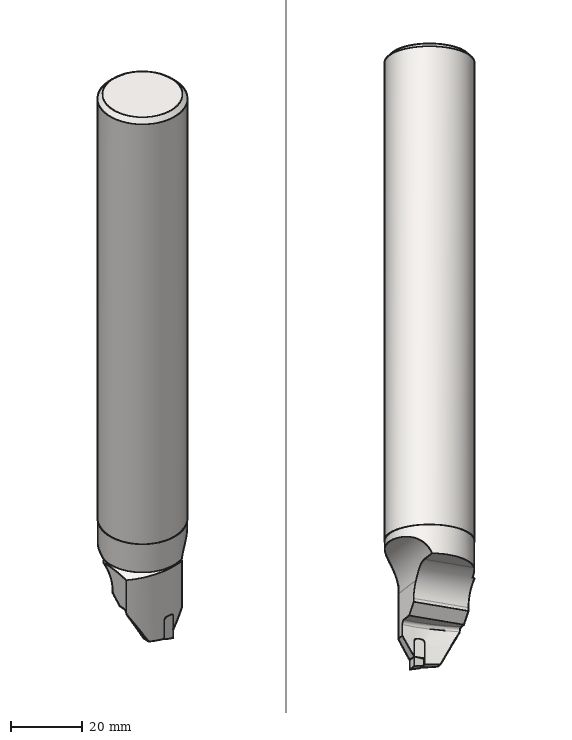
import cadquery as cq
import math

total_length = 180.0
overall_width = 25.5
overall_depth = 25.7

shank_radius = 25.4 / 2
neck_radius = 25.2 / 2
shank_end_z = 34.4
shank_chamfer = 1.5

head_front_y = shank_radius - overall_depth
head_arc_radius = 18.0
head_arc_y = -0.5
head_arc_x = overall_width - shank_radius - head_arc_radius
shoulder_z = 24.7
shoulder_slope = 0.5

neck_end_z = 25.7
side_fillet = 8.6
side_wall_x = 2.0
side_chamfer = 3.0
side_chamfer_z = 16.0
head_end_z = side_chamfer_z - side_chamfer

back_wall_y = 4.0
back_fillet = 9.9
back_step_z = 32.0

blade_thickness = 3.0
inner_arc_radius = 39.6
inner_arc_x = head_arc_x + head_arc_radius - blade_thickness - inner_arc_radius
blade_root_fillet = 1.0
blade_slant_z = 11.7
blade_heel_y = -7.7
blade_heel_z = 1.6
blade_back_slant_z = 8.5

insert_face_y = 0.2
insert_width = 3.2
insert_top_z = 8.5
insert_corner = 1.0
insert_seat_y = insert_face_y - insert_width
insert_end_rise = 0.9
insert_end_recess = 0.2
blade_back_end_z = 2.9
side_relief_z = 2.9
side_relief = 0.5

margin = 18.0
far = shank_radius + margin


def prism_along_x(points):
    """A YZ outline extended through the whole part along X."""
    return cq.Workplane("YZ").polyline(points).close().extrude(far, both=True)


def make_shank():
    """Round shank with a chamfered top and a slightly thinner neck below."""
    shank = (
        cq.Workplane("XY", origin=(0, 0, shank_end_z))
        .circle(shank_radius)
        .extrude(total_length - shank_end_z)
        .faces(">Z")
        .chamfer(shank_chamfer)
    )
    neck = (
        cq.Workplane("XY", origin=(0, 0, head_end_z))
        .circle(neck_radius)
        .extrude(shank_end_z - head_end_z)
    )
    return shank.union(neck)


def outer_arc_disk():
    """Disk whose +X side is the outer side of the head and blade."""
    return cq.Workplane("XY").center(head_arc_x, head_arc_y).circle(head_arc_radius).extrude(shoulder_z)


def inner_arc_disk():
    """Space inside the blade, rounded at the blade root."""
    return (
        cq.Workplane("XY", origin=(0, 0, -margin))
        .center(inner_arc_x, head_arc_y)
        .circle(inner_arc_radius)
        .extrude(head_end_z + margin)
        .faces(">Z")
        .edges()
        .fillet(blade_root_fillet)
    )


def make_head():
    """Plate with a flat front and a shoulder that slopes down away from the neck."""
    slab_depth = back_wall_y - head_front_y
    slab = (
        cq.Workplane("XY")
        .center(0, head_front_y + slab_depth / 2)
        .rect(2 * far, slab_depth)
        .extrude(shoulder_z)
    )
    shoulder_cone = (
        cq.Workplane("XZ")
        .polyline(
            [
                (0, 0),
                (far, 0),
                (far, shoulder_z - shoulder_slope * (far - neck_radius)),
                (neck_radius, shoulder_z),
                (0, shoulder_z),
            ]
        )
        .close()
        .revolve(360, (0, 0, 0), (0, 1, 0))
    )
    return slab.intersect(outer_arc_disk()).intersect(shoulder_cone)


def side_clearance():
    """Space on the -X side: step below the neck, fillet, wall and chamfer."""
    diagonal = side_fillet * math.sqrt(0.5)
    center_x = side_wall_x - side_fillet
    center_z = neck_end_z - side_fillet
    return (
        cq.Workplane("XZ")
        .moveTo(-far, neck_end_z)
        .lineTo(center_x, neck_end_z)
        .threePointArc((center_x + diagonal, center_z + diagonal), (side_wall_x, center_z))
        .lineTo(side_wall_x, side_chamfer_z)
        .lineTo(side_wall_x + side_chamfer, head_end_z)
        .lineTo(side_wall_x + side_chamfer, -margin)
        .lineTo(-far, -margin)
        .close()
        .extrude(far, both=True)
    )


def back_clearance():
    """Space on the +Y side: a wall that runs into the neck through a fillet."""
    diagonal = back_fillet * math.sqrt(0.5)
    center_y = back_wall_y + back_fillet
    center_z = back_step_z - back_fillet
    return (
        cq.Workplane("YZ")
        .moveTo(far, back_step_z)
        .lineTo(center_y, back_step_z)
        .threePointArc((center_y - diagonal, center_z + diagonal), (back_wall_y, center_z))
        .lineTo(back_wall_y, -margin)
        .lineTo(far, -margin)
        .close()
        .extrude(far, both=True)
    )


def blade_end_clearance():
    """Space around the lower end of the blade: slanted back, end and front."""
    return prism_along_x(
        [
            (far, blade_back_slant_z),
            (back_wall_y, blade_back_slant_z),
            (insert_face_y, blade_back_end_z),
            (insert_seat_y, insert_end_rise + insert_end_recess),
            (blade_heel_y, blade_heel_z),
            (head_front_y, blade_slant_z),
            (-far, blade_slant_z),
            (-far, -margin),
            (far, -margin),
        ]
    )


def insert_outline():
    """Insert as a bar along X: rounded at the top, with a sloped cutting end."""
    bar = prism_along_x(
        [
            (insert_face_y, 0),
            (insert_face_y, insert_top_z),
            (insert_seat_y, insert_top_z),
            (insert_seat_y, insert_end_rise),
        ]
    )
    return bar.edges("|X and >Z").fillet(insert_corner)


def make_holder():
    """Shank, neck, head and blade in one solid, with the seat for the insert."""
    body = make_shank().union(make_head())
    body = body.cut(side_clearance()).cut(back_clearance())
    body = body.cut(inner_arc_disk()).cut(blade_end_clearance())
    return body.cut(insert_outline())


def make_insert():
    """Insert across the full blade thickness, relieved behind its cutting edge."""
    body = insert_outline().intersect(outer_arc_disk()).cut(inner_arc_disk())
    inner_x = inner_arc_x + inner_arc_radius
    relief = (
        cq.Workplane("XY")
        .polyline(
            [
                (inner_x - margin, insert_face_y),
                (inner_x, insert_face_y),
                (inner_x + side_relief, insert_seat_y),
                (inner_x - margin, insert_seat_y),
            ]
        )
        .close()
        .extrude(side_relief_z)
    )
    return body.cut(relief)


holder = make_holder()
insert = make_insert()
result = cq.Compound.makeCompound([holder.val(), insert.val()])